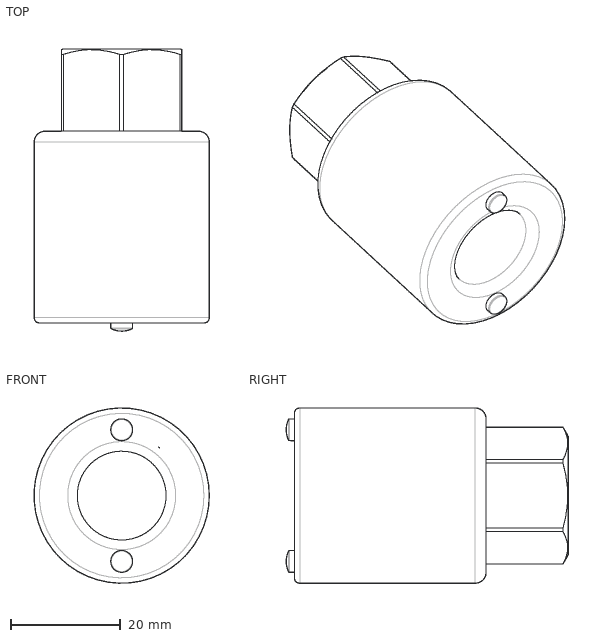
import cadquery as cq
import math

body_diameter = 32.0
body_length = 35.0
front_edge_radius = 1.0
rear_edge_radius = 2.0

hex_sides = 6
hex_across_flats = 22.0
hex_corner_diameter = 25.0
hex_length = 15.0
hex_chamfer_length = 1.0
hex_chamfer_angle = 30.0

bore_diameter = 16.2
bore_mouth_radius = 1.75
bore_depth = 25.0
drill_point_angle = 118.0

pin_diameter = 4.0
pin_circle_diameter = 24.0
pin_height = 1.5
pin_dome_height = 0.5
pin_edge_radius = 0.2


def revolve_about_y(profile):
    """Turn a closed XY profile a full turn about the Y axis."""
    return profile.close().revolve(360, (0, 0, 0), (0, 1, 0))


def make_body():
    """Barrel with rounded front and rear rims."""
    barrel = cq.Workplane("XZ").circle(body_diameter / 2).extrude(-body_length)
    barrel = barrel.faces("<Y").edges().fillet(front_edge_radius)
    return barrel.faces(">Y").edges().fillet(rear_edge_radius)


def make_hex():
    """Hexagon with corners up and down, trimmed by a chamfered cylinder."""
    rear_end = body_length + hex_length
    across_corners = hex_across_flats / math.cos(math.pi / hex_sides)
    corner_radius = hex_corner_diameter / 2
    chamfer_width = hex_chamfer_length / math.tan(math.radians(hex_chamfer_angle))
    prism = (
        cq.Workplane("XZ")
        .transformed(rotate=(0, 0, 90))
        .polygon(hex_sides, across_corners)
        .extrude(-rear_end)
    )
    root = body_length / 2
    envelope = revolve_about_y(
        cq.Workplane("XY")
        .moveTo(0, root)
        .lineTo(corner_radius, root)
        .lineTo(corner_radius, rear_end - hex_chamfer_length)
        .lineTo(corner_radius - chamfer_width, rear_end)
        .lineTo(0, rear_end)
    )
    return prism.intersect(envelope)


def make_bore():
    """Cutting volume of the bore, from its rounded mouth to its point."""
    radius = bore_diameter / 2
    point_length = radius / math.tan(math.radians(drill_point_angle / 2))
    return revolve_about_y(
        cq.Workplane("XY")
        .lineTo(radius + bore_mouth_radius, 0)
        .radiusArc((radius, bore_mouth_radius), bore_mouth_radius)
        .lineTo(radius, bore_depth)
        .lineTo(0, bore_depth + point_length)
    )


def make_pin():
    """Pin on the Y axis with a spherical end and a softened edge."""
    radius = pin_diameter / 2
    dome_radius = (radius**2 + pin_dome_height**2) / (2 * pin_dome_height)
    shoulder = pin_dome_height - pin_height
    pin = revolve_about_y(
        cq.Workplane("XY")
        .lineTo(radius, 0)
        .lineTo(radius, shoulder)
        .radiusArc((0, -pin_height), dome_radius)
    )
    rim = cq.selectors.NearestToPointSelector((0, shoulder, 0))
    return pin.edges("%CIRCLE").edges(rim).fillet(pin_edge_radius)


pin = make_pin()
result = make_body().union(make_hex()).cut(make_bore())
for side in (-1, 1):
    result = result.union(pin.translate((0, 0, side * pin_circle_diameter / 2)))